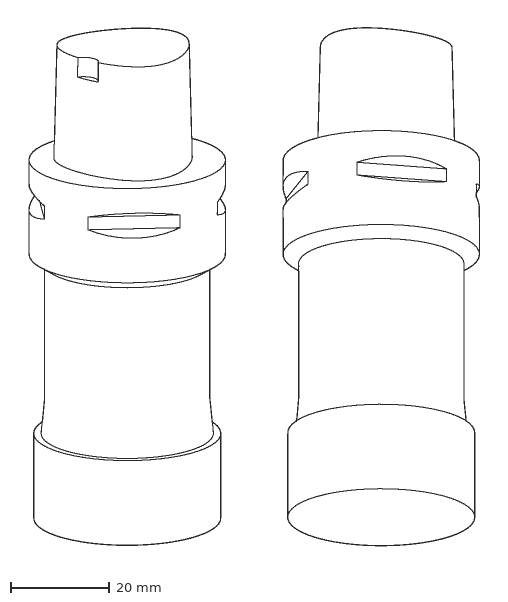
import cadquery as cq
import math

TOTAL_HEIGHT = 100.2
NUT_HEIGHT = 18.0
NECK_BOTTOM = 25.3
FLANGE_CHAMFER_BOTTOM = 54.1
FLANGE_BOTTOM = 56.1
FLANGE_TOP = 76.2

NUT_DIAMETER = 38.1
NECK_DIAMETER = 33.7
FLARE_DIAMETER = 35.1
FLANGE_DIAMETER = 40.0

SHANK_BASE_RADIUS = 14.0
SHANK_TOP_RADIUS = 13.4
LOBE_HEIGHT = 1.0
LOBE_COUNT = 3
LOBE_HALF_SPAN = math.radians(22)
FIRST_LOBE_ANGLE = math.radians(90)
POINTS_PER_FACE = 9

NOTCH_DIAMETER = 6.1
NOTCH_DEPTH = 4.1
NOTCH_CENTER_Y = -13.7

SLOT_COUNT = 4
SLOT_START_ANGLE = 45.0
SLOT_CENTER_HEIGHT = 68.2
SLOT_FLOOR_DISTANCE = 17.6
SLOT_FLOOR_WIDTH = 2.7
SLOT_MOUTH_WIDTH = 5.3


def make_nut():
    """Plain round clamping nut under the holder."""
    return cq.Workplane("XY").circle(NUT_DIAMETER / 2).extrude(NUT_HEIGHT)


def make_turned_body():
    """Flared neck with the chamfered flange, revolved about Z."""
    neck_radius = NECK_DIAMETER / 2
    flange_radius = FLANGE_DIAMETER / 2
    return (
        cq.Workplane("XZ")
        .moveTo(0, NUT_HEIGHT)
        .lineTo(FLARE_DIAMETER / 2, NUT_HEIGHT)
        .lineTo(neck_radius, NECK_BOTTOM)
        .lineTo(neck_radius, FLANGE_CHAMFER_BOTTOM)
        .lineTo(flange_radius, FLANGE_BOTTOM)
        .lineTo(flange_radius, FLANGE_TOP)
        .lineTo(0, FLANGE_TOP)
        .close()
        .revolve(360, (0, 0), (0, 1))
    )


def lobed_point(mean_radius, angle, height):
    """Point of a trochoid that bulges by LOBE_HEIGHT at each lobe."""
    lobe_angle = LOBE_COUNT * FIRST_LOBE_ANGLE - (LOBE_COUNT - 1) * angle
    return cq.Vector(
        mean_radius * math.cos(angle) + LOBE_HEIGHT * math.cos(lobe_angle),
        mean_radius * math.sin(angle) + LOBE_HEIGHT * math.sin(lobe_angle),
        height,
    )


def lobed_face_edge(mean_radius, height, start, end):
    """Smooth stretch of the lobed outline between two angles."""
    step = (end - start) / (POINTS_PER_FACE - 1)
    points = [lobed_point(mean_radius, start + i * step, height) for i in range(POINTS_PER_FACE)]
    tangents = [
        lobed_point(mean_radius, angle + step / 2, height) - lobed_point(mean_radius, angle - step / 2, height)
        for angle in (start, end)
    ]
    return cq.Edge.makeSpline(points, tangents=tangents)


def lobed_wire(mean_radius, height):
    """Closed outline: a rounded lobe and a flatter flank, repeated."""
    pitch = 2 * math.pi / LOBE_COUNT
    edges = []
    for i in range(LOBE_COUNT):
        lobe_center = FIRST_LOBE_ANGLE + i * pitch
        lobe_start = lobe_center - LOBE_HALF_SPAN
        lobe_end = lobe_center + LOBE_HALF_SPAN
        edges.append(lobed_face_edge(mean_radius, height, lobe_start, lobe_end))
        edges.append(lobed_face_edge(mean_radius, height, lobe_end, lobe_start + pitch))
    return cq.Wire.assembleEdges(edges)


def make_shank():
    """Tapered three-lobed shank on top of the flange."""
    base = lobed_wire(SHANK_BASE_RADIUS, FLANGE_TOP)
    top = lobed_wire(SHANK_TOP_RADIUS, TOTAL_HEIGHT)
    return cq.Workplane(cq.Solid.makeLoft([base, top], True))


def make_notch():
    """Cutter for the round notch in the -Y side of the top edge."""
    return (
        cq.Workplane("XY", origin=(0, NOTCH_CENTER_Y, TOTAL_HEIGHT))
        .circle(NOTCH_DIAMETER / 2)
        .extrude(-NOTCH_DEPTH)
    )


def make_gripper_slot(angle):
    """Cutter for one straight slot with a flat floor and sloping sides."""
    outer_distance = FLANGE_DIAMETER / 2
    half_floor = SLOT_FLOOR_WIDTH / 2
    half_mouth = SLOT_MOUTH_WIDTH / 2
    return (
        cq.Workplane("XZ", origin=(0, 0, SLOT_CENTER_HEIGHT))
        .polyline(
            [
                (SLOT_FLOOR_DISTANCE, -half_floor),
                (outer_distance, -half_mouth),
                (outer_distance, half_mouth),
                (SLOT_FLOOR_DISTANCE, half_floor),
            ]
        )
        .close()
        .extrude(FLANGE_DIAMETER / 2, both=True)
        .rotate((0, 0, 0), (0, 0, 1), angle)
    )


def make_holder():
    """Neck, flange and shank as one solid, with its notch and slots."""
    holder = make_turned_body().union(make_shank()).cut(make_notch())
    for i in range(SLOT_COUNT):
        holder = holder.cut(make_gripper_slot(SLOT_START_ANGLE + i * 360 / SLOT_COUNT))
    return holder


nut = make_nut()
holder = make_holder()
result = cq.Compound.makeCompound([nut.val(), *holder.solids().vals()])